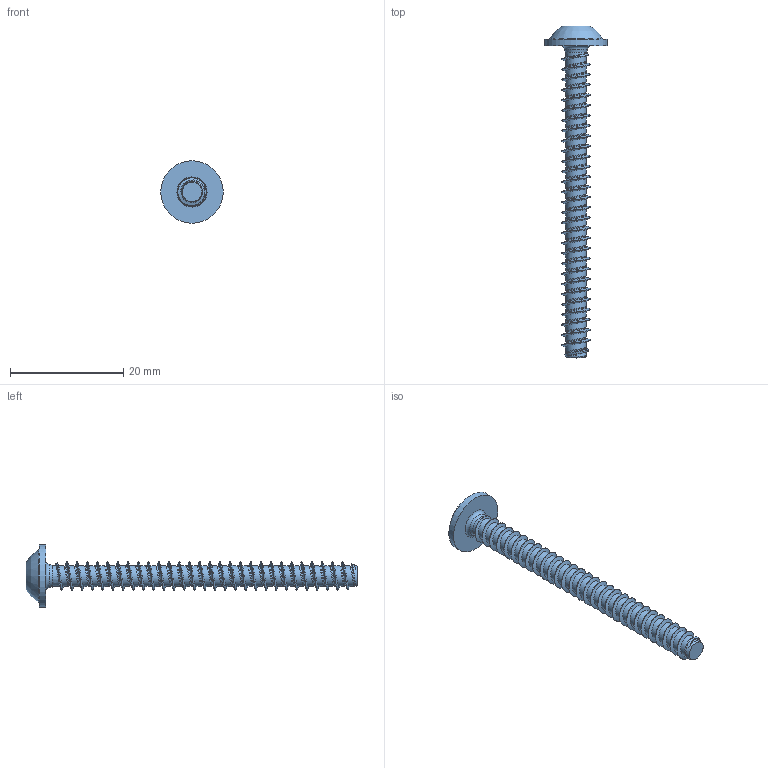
import cadquery as cq
import math


flange_diameter = 11.0
flange_thickness = 1.2
head_height = 3.5
dome_base_diameter = 9.2
dome_top_diameter = 4.8
dome_bulge = 0.25
dome_foot_width = 0.15
dome_foot_height = 0.1

shank_length = 55.0
land_diameter = 3.74
collar_diameter = 4.1
underhead_fillet = 0.6
collar_length = 1.15

thread_diameter = 5.0
pitch = 1.8
crest_width = 0.06
root_width = 0.44
first_crest_depth = 2.35
head_runout = pitch
tip_runout = 2.2
thread_start = 0.7
thread_tip_margin = 0.05

relief_depth = 0.15
relief_width = 0.6
relief_slope_width = 0.3
land_drop = 0.08
root_overlap = 0.05
crest_clearance = 0.1

land_radius = land_diameter / 2
crest_radius = thread_diameter / 2
inner_core_radius = land_radius - relief_depth
thread_end = shank_length - thread_tip_margin


def revolve_about_y(outline):
    return outline.close().revolve(360, (0, 0, 0), (0, 1, 0))


def make_head():
    """Flange with a domed, flat-topped button."""
    base_radius = dome_base_diameter / 2
    top_radius = dome_top_diameter / 2
    base_height = flange_thickness + dome_foot_height
    chord_x = top_radius - base_radius
    chord_y = head_height - base_height
    chord = math.hypot(chord_x, chord_y)
    dome_middle = (
        (base_radius + top_radius) / 2 + dome_bulge * chord_y / chord,
        (base_height + head_height) / 2 - dome_bulge * chord_x / chord,
    )
    outline = (
        cq.Workplane("XY")
        .moveTo(0, head_height)
        .lineTo(top_radius, head_height)
        .threePointArc(dome_middle, (base_radius, base_height))
        .lineTo(base_radius + dome_foot_width, flange_thickness)
        .lineTo(flange_diameter / 2, flange_thickness)
        .lineTo(flange_diameter / 2, 0)
        .lineTo(0, 0)
    )
    return revolve_about_y(outline)


def make_core():
    """Inner core with the filleted collar under the flange."""
    collar_radius = collar_diameter / 2
    fillet_middle_offset = underhead_fillet * (1 - math.sqrt(0.5))
    fillet_middle = (collar_radius + fillet_middle_offset, -fillet_middle_offset)
    outline = (
        cq.Workplane("XY")
        .lineTo(collar_radius + underhead_fillet, 0)
        .threePointArc(fillet_middle, (collar_radius, -underhead_fillet))
        .lineTo(land_radius, -collar_length)
        .lineTo(inner_core_radius, -collar_length - head_runout)
        .lineTo(inner_core_radius, -shank_length)
        .lineTo(0, -shank_length)
    )
    return revolve_about_y(outline)


def make_full_thread():
    """Helical ridge and land in one sweep; the gap between its turns is the relief."""
    root_radius = inner_core_radius - root_overlap
    land_end = pitch - relief_width
    section = [
        (root_radius, -root_width / 2),
        (land_radius, -root_width / 2),
        (crest_radius, -crest_width / 2),
        (crest_radius, crest_width / 2),
        (land_radius, root_width / 2),
        (land_radius - land_drop, land_end),
        (root_radius, land_end + relief_slope_width),
    ]
    turns_before_first_crest = math.ceil((first_crest_depth - thread_start) / pitch)
    helix_start = first_crest_depth - turns_before_first_crest * pitch
    turns = math.ceil((thread_end - helix_start) / pitch)
    helix = cq.Wire.makeHelix(pitch, turns * pitch, land_radius)
    swept = cq.Workplane("XZ").polyline(section).close().sweep(cq.Workplane(helix), isFrenet=True)
    swept = swept.rotate((0, 0, 0), (0, 0, 1), 180)
    swept = swept.rotate((0, 0, 0), (1, 0, 0), 90)
    return swept.translate((0, -helix_start, 0))


def make_thread_spindle():
    """Solid whose tapered ends give the thread its run-outs."""
    middle_radius = crest_radius + crest_clearance
    outline = (
        cq.Workplane("XY")
        .moveTo(0, -thread_start)
        .lineTo(inner_core_radius, -thread_start)
        .lineTo(middle_radius, -thread_start - head_runout)
        .lineTo(middle_radius, tip_runout - thread_end)
        .lineTo(inner_core_radius, -thread_end)
        .lineTo(0, -thread_end)
    )
    return revolve_about_y(outline)


thread = make_full_thread().intersect(make_thread_spindle())
result = make_head().union(make_core()).union(thread)